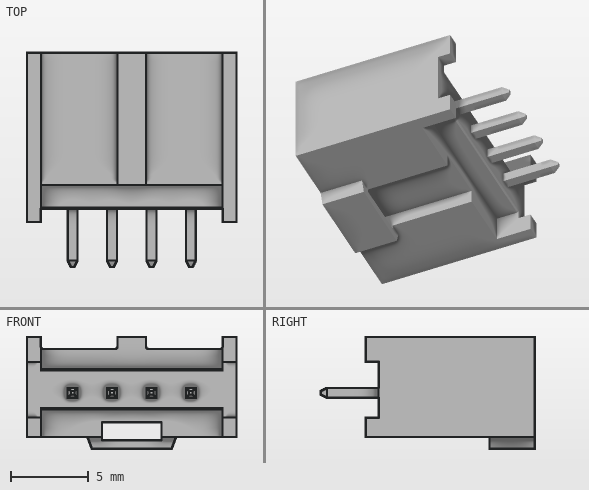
import cadquery as cq

WIDTH = 13.51
TOTAL_LENGTH = 13.8
TOTAL_HEIGHT = 7.2

WALL_THICKNESS = 0.91
WALL_LENGTH = 10.9
ARM_LENGTH = 0.84
UPPER_ARM_HEIGHT = 1.6
LOWER_ARM_HEIGHT = 1.25

LIP_DROP = 0.76
HOUSING_HEIGHT = TOTAL_HEIGHT - LIP_DROP
CORE_RECESS = 0.77
CORE_HEIGHT = HOUSING_HEIGHT - CORE_RECESS
CORE_LENGTH = 8.53
CORE_WIDTH = WIDTH - 2 * WALL_THICKNESS
RAIL_WIDTH = 1.84
ROOT_FILLET = 0.15

TONGUE_END = WALL_LENGTH - ARM_LENGTH
TONGUE_BOTTOM = 1.77
TONGUE_HEIGHT = 2.61
TONGUE_CHAMFER = 0.1

LIP_LENGTH = 2.93
LIP_TOP_WIDTH = 5.71
LIP_BOTTOM_WIDTH = 5.15
WINDOW_WIDTH = 3.81
WINDOW_HEIGHT = 1.15
WINDOW_FLOOR = 0.55

PIN_COUNT = 4
PIN_PITCH = 2.54
PIN_SIZE = 0.65
PIN_HEIGHT = 2.84
TIP_LENGTH = 0.41
TIP_SIZE = 0.23


def centred_block(width, height, bottom, front, rear=0.0):
    """Block centred on X that spans from Y = -front to Y = -rear."""
    block = cq.Workplane("XY").box(width, front - rear, height, centered=(True, False, False))
    return block.translate((0, -front, bottom))


def side_walls():
    notch_height = HOUSING_HEIGHT - UPPER_ARM_HEIGHT - LOWER_ARM_HEIGHT
    slab = centred_block(WIDTH, HOUSING_HEIGHT, 0, WALL_LENGTH)
    gap = centred_block(CORE_WIDTH, HOUSING_HEIGHT, 0, WALL_LENGTH)
    notch = centred_block(WIDTH, notch_height, LOWER_ARM_HEIGHT, WALL_LENGTH, TONGUE_END)
    return slab.cut(gap).cut(notch)


def core():
    block = centred_block(CORE_WIDTH, CORE_HEIGHT, 0, CORE_LENGTH)
    rail = centred_block(RAIL_WIDTH, CORE_RECESS, CORE_HEIGHT, CORE_LENGTH)
    return block.union(rail)


def root_fillet(corner_x, side):
    """Concave fillet strip in a corner of the core top; side is the X direction away from the corner."""
    return (
        cq.Workplane("XZ")
        .moveTo(corner_x, CORE_HEIGHT)
        .lineTo(corner_x + side * ROOT_FILLET, CORE_HEIGHT)
        .radiusArc((corner_x, CORE_HEIGHT + ROOT_FILLET), side * ROOT_FILLET)
        .close()
        .extrude(CORE_LENGTH)
    )


def tongue():
    block = centred_block(CORE_WIDTH, TONGUE_HEIGHT, TONGUE_BOTTOM, TONGUE_END)
    return block.faces("<Y").edges("|X").chamfer(TONGUE_CHAMFER)


def latch_lip():
    return (
        cq.Workplane("XZ")
        .moveTo(-LIP_TOP_WIDTH / 2, 0)
        .lineTo(LIP_TOP_WIDTH / 2, 0)
        .lineTo(LIP_BOTTOM_WIDTH / 2, -LIP_DROP)
        .lineTo(-LIP_BOTTOM_WIDTH / 2, -LIP_DROP)
        .close()
        .extrude(LIP_LENGTH)
    )


def window():
    return centred_block(WINDOW_WIDTH, WINDOW_HEIGHT, WINDOW_FLOOR - LIP_DROP, WALL_LENGTH)


def pin(center_x):
    shank_end = TOTAL_LENGTH - TIP_LENGTH
    shank = (
        cq.Workplane("XZ", origin=(center_x, -CORE_LENGTH, PIN_HEIGHT))
        .rect(PIN_SIZE, PIN_SIZE)
        .extrude(shank_end - CORE_LENGTH)
    )
    tip = (
        cq.Workplane("XZ", origin=(center_x, -shank_end, PIN_HEIGHT))
        .rect(PIN_SIZE, PIN_SIZE)
        .workplane(offset=TIP_LENGTH)
        .rect(TIP_SIZE, TIP_SIZE)
        .loft()
    )
    return shank.union(tip)


result = side_walls().union(core()).union(tongue()).union(latch_lip())

for side in (-1, 1):
    result = result.union(root_fillet(side * RAIL_WIDTH / 2, side))
    result = result.union(root_fillet(side * CORE_WIDTH / 2, -side))

result = result.cut(window())

for index in range(PIN_COUNT):
    result = result.union(pin((index - (PIN_COUNT - 1) / 2) * PIN_PITCH))